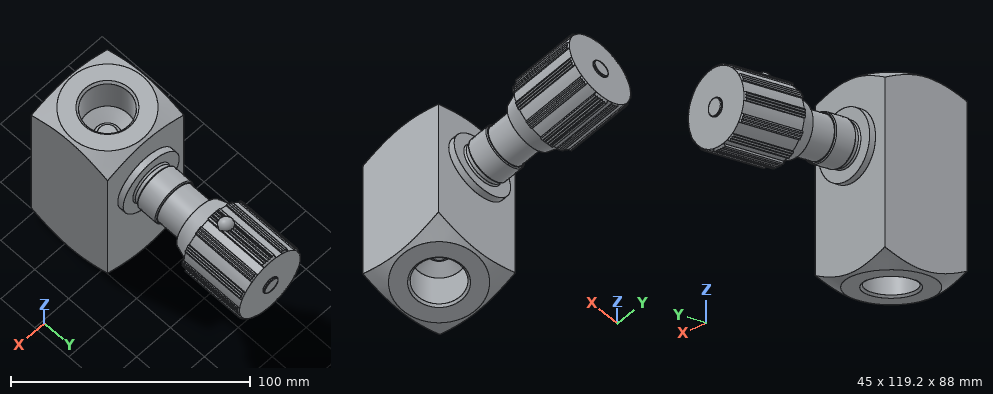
import cadquery as cq
import math

BLOCK_WIDTH = 45.0
BLOCK_HEIGHT = 88.0
BLOCK_FACE = BLOCK_WIDTH / 2
END_FLAT_DIAMETER = 42.2
END_CHAMFER_ANGLE = math.radians(30)

PORT_DIAMETER = 24.1
PORT_MOUTH_DIAMETER = 26.2
PORT_MOUTH_CHAMFER = (PORT_MOUTH_DIAMETER - PORT_DIAMETER) / 2
PORT_DEPTH = 19.1
SEAT_DIAMETER = 12.0
SEAT_ANGLE = math.radians(59)
POPPET_TIP_DIAMETER = 8.5
POPPET_HEIGHT = (SEAT_DIAMETER - POPPET_TIP_DIAMETER) / 2

TOTAL_LENGTH = 119.2
STEM_Z = 13.1
COLLAR_DIAMETER = 33.0
COLLAR_LENGTH = 3.2
STEM_DIAMETER = 20.7
STEM_FLARE = 1.0
SLEEVE_DIAMETER = 22.6
SLEEVE_START = 6.1
SLEEVE_END = 17.3
SLEEVE_CHAMFER = 0.5
KNOB_CONE_START = 31.2
KNOB_CONE_SMALL_DIAMETER = 26.2
KNOB_CONE_LARGE_DIAMETER = 32.0
KNOB_CONE_LENGTH = 8.9
KNOB_DIAMETER = 36.0
CAP_DIAMETER = 8.5
CAP_HEIGHT = 1.0
CAP_CHAMFER = 0.4

STEM_LENGTH = TOTAL_LENGTH - BLOCK_WIDTH
KNOB_START = KNOB_CONE_START + KNOB_CONE_LENGTH
KNOB_END = STEM_LENGTH - CAP_HEIGHT
KNOB_LENGTH = KNOB_END - KNOB_START

RIB_COUNT = 12
RIB_WIDTH = 3.9
RIB_TEETH = 3
RIB_CREST = 18.8
TOP_RIB_ANGLE = 0.0
BOTTOM_RIB_ANGLE = 184.0
WIDE_RIB_WIDTH = 7.0
WIDE_RIB_TEETH = 5
WIDE_RIB_CREST = 19.1
TOOTH_DEPTH = 0.4
RIB_EMBED = 1.8
RIB_ROOT = KNOB_DIAMETER / 2 - RIB_EMBED

BALL_DIAMETER = 7.4
BALL_HEIGHT = 18.0
BALL_FROM_KNOB_START = 7.2


def chamfered_block():
    """Square bar whose two ends are turned down to a 30 degree cone."""
    box = cq.Workplane("XY").box(BLOCK_WIDTH, BLOCK_WIDTH, BLOCK_HEIGHT)
    flat_radius = END_FLAT_DIAMETER / 2
    outer_radius = BLOCK_WIDTH
    top = BLOCK_HEIGHT / 2
    shoulder = top - (outer_radius - flat_radius) * math.tan(END_CHAMFER_ANGLE)
    turned = (
        cq.Workplane("XZ")
        .polyline([
            (0, -top), (flat_radius, -top), (outer_radius, -shoulder),
            (outer_radius, shoulder), (flat_radius, top), (0, top),
        ])
        .close()
        .revolve(360, (0, 0, 0), (0, 1, 0))
    )
    return box.intersect(turned)


def port():
    """Cutter for the upper port: bore, conical seat and a poppet tip left standing."""
    top = BLOCK_HEIGHT / 2
    bore_floor = top - PORT_DEPTH
    seat_drop = (PORT_DIAMETER - SEAT_DIAMETER) / 2 / math.tan(SEAT_ANGLE)
    seat_floor = bore_floor - seat_drop
    poppet_top = seat_floor + POPPET_HEIGHT
    return (
        cq.Workplane("XZ")
        .polyline([
            (0, top), (PORT_MOUTH_DIAMETER / 2, top),
            (PORT_DIAMETER / 2, top - PORT_MOUTH_CHAMFER),
            (PORT_DIAMETER / 2, bore_floor), (SEAT_DIAMETER / 2, seat_floor),
            (POPPET_TIP_DIAMETER / 2, poppet_top), (0, poppet_top),
        ])
        .close()
        .revolve(360, (0, 0, 0), (0, 1, 0))
    )


def turned_about_stem(profile):
    """Revolve (radius, distance from block face) points about the stem axis."""
    points = [(radius, BLOCK_FACE + distance) for radius, distance in profile]
    return (
        cq.Workplane("XY", origin=(0, 0, STEM_Z))
        .polyline(points)
        .close()
        .revolve(360, (0, 0, 0), (0, 1, 0))
    )


def stem_and_knob():
    """Collar, neck, sleeve, stem, knob cone, knob core and end cap as one turning."""
    stem = STEM_DIAMETER / 2
    sleeve = SLEEVE_DIAMETER / 2
    knob = KNOB_DIAMETER / 2
    cap = CAP_DIAMETER / 2
    return turned_about_stem([
        (0, 0),
        (COLLAR_DIAMETER / 2, 0),
        (COLLAR_DIAMETER / 2, COLLAR_LENGTH),
        (stem + STEM_FLARE / 2, COLLAR_LENGTH),
        (stem, COLLAR_LENGTH + STEM_FLARE),
        (stem, SLEEVE_START),
        (sleeve - SLEEVE_CHAMFER, SLEEVE_START),
        (sleeve, SLEEVE_START + SLEEVE_CHAMFER),
        (sleeve, SLEEVE_END - SLEEVE_CHAMFER),
        (sleeve - SLEEVE_CHAMFER, SLEEVE_END),
        (stem, SLEEVE_END),
        (stem, KNOB_CONE_START),
        (KNOB_CONE_SMALL_DIAMETER / 2, KNOB_CONE_START),
        (KNOB_CONE_LARGE_DIAMETER / 2, KNOB_START),
        (knob, KNOB_START),
        (knob, KNOB_END),
        (cap, KNOB_END),
        (cap, STEM_LENGTH - CAP_CHAMFER),
        (cap - CAP_CHAMFER, STEM_LENGTH),
        (0, STEM_LENGTH),
    ])


def serrated_rib(angle, width, crest, teeth):
    """Parallel-sided rib with V teeth along its crest; the angle is measured from the top."""
    valley = crest - TOOTH_DEPTH
    pitch = width / teeth
    outline = [(-width / 2, RIB_ROOT), (-width / 2, valley)]
    for tooth in range(teeth):
        valley_x = -width / 2 + tooth * pitch
        outline.append((valley_x + pitch / 2, crest))
        outline.append((valley_x + pitch, valley))
    outline.append((width / 2, RIB_ROOT))
    return (
        cq.Workplane("XZ", origin=(0, BLOCK_FACE + KNOB_START, STEM_Z))
        .polyline(outline)
        .close()
        .extrude(-KNOB_LENGTH)
        .rotate((0, 0, STEM_Z), (0, 1, STEM_Z), angle)
    )


def grip_ribs():
    """Ring of ribs, wide at top and bottom, all bevelled towards the free end of the knob."""
    ribs = serrated_rib(TOP_RIB_ANGLE, WIDE_RIB_WIDTH, WIDE_RIB_CREST, WIDE_RIB_TEETH)
    ribs = ribs.add(serrated_rib(BOTTOM_RIB_ANGLE, WIDE_RIB_WIDTH, WIDE_RIB_CREST, WIDE_RIB_TEETH))
    for index in range(1, RIB_COUNT):
        if index != RIB_COUNT // 2:
            ribs = ribs.add(serrated_rib(index * 360 / RIB_COUNT, RIB_WIDTH, RIB_CREST, RIB_TEETH))
    knob = KNOB_DIAMETER / 2
    bevel = WIDE_RIB_CREST - knob
    envelope = turned_about_stem([
        (0, KNOB_START),
        (WIDE_RIB_CREST, KNOB_START),
        (WIDE_RIB_CREST, KNOB_END - bevel),
        (knob, KNOB_END),
        (0, KNOB_END),
    ])
    return ribs.combine().intersect(envelope)


def index_ball():
    """Ball partly sunk in the wide top rib."""
    along_stem = BLOCK_FACE + KNOB_START + BALL_FROM_KNOB_START
    return cq.Workplane("XY").sphere(BALL_DIAMETER / 2).translate((0, along_stem, STEM_Z + BALL_HEIGHT))


upper_port = port()
lower_port = upper_port.mirror("XY")
block = chamfered_block().cut(upper_port).cut(lower_port)
result = block.union(stem_and_knob()).union(grip_ribs()).union(index_ball())